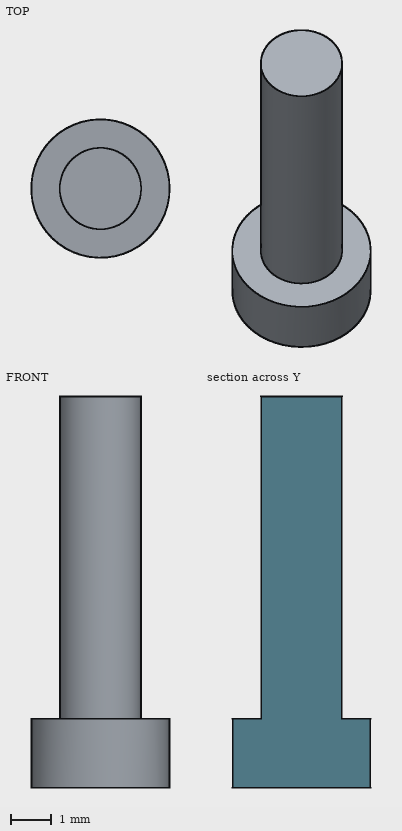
import cadquery as cq

total_length = 9.6
head_diameter = 3.4
head_height = head_diameter / 2
shank_diameter = 2.0

head = cq.Workplane("XY").circle(head_diameter / 2).extrude(head_height)

shank_length = total_length - head_height
result = head.faces(">Z").workplane().circle(shank_diameter / 2).extrude(shank_length)